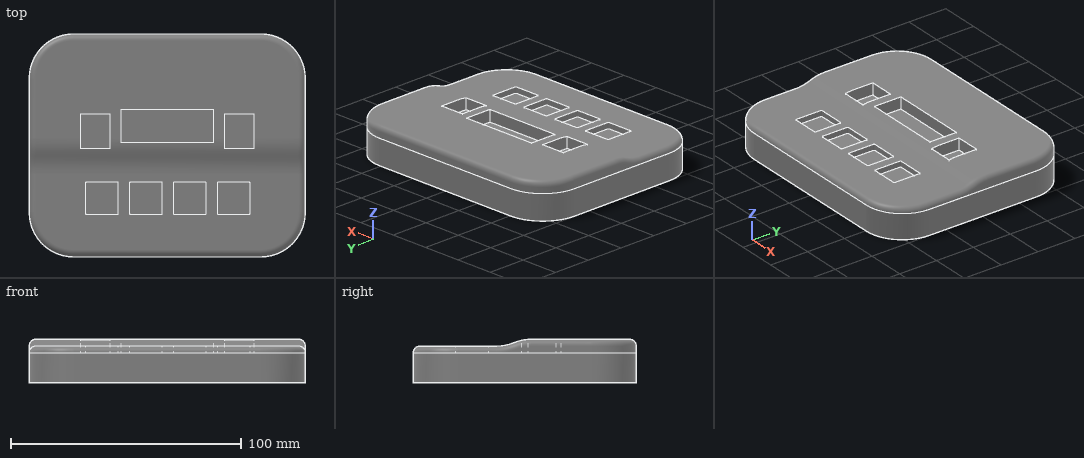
import cadquery as cq
import math

length = 120.0
width = 97.0
corner_radius = 19.5

base_height = 13.0
front_height = 16.0
rear_height = 19.0
rim_radius = front_height - base_height

step_center_y = -4.7
step_arc_radius = 20.0

display_length = 40.2
display_width = 14.3
display_center_y = 8.5
side_opening_length = 12.7
side_opening_width = 14.9
side_opening_center_y = 6.1
side_opening_offset_x = 31.2

key_count = 4
key_size = 14.2
key_pitch = 19.1
key_corner_radius = 0.5
key_row_center_x = 0.2
key_row_center_y = -22.9


def rounded_plate(height):
    """Plate with the overall outline, standing on Z = 0."""
    plate = cq.Workplane("XY").rect(length, width).extrude(height)
    return plate.edges("|Z").fillet(corner_radius)


def deck_profile():
    """Space below the stepped deck, as a prism along X."""
    half_drop = (rear_height - front_height) / 2
    half_run = math.sqrt(2 * step_arc_radius * half_drop - half_drop**2)
    middle_height = front_height + half_drop
    half_angle = math.asin(half_run / step_arc_radius) / 2
    arc_run = step_arc_radius * math.sin(half_angle)
    arc_drop = step_arc_radius * (1 - math.cos(half_angle))
    front_end_y = step_center_y - half_run
    rear_end_y = step_center_y + half_run
    return (
        cq.Workplane("YZ")
        .moveTo(-width / 2, 0)
        .lineTo(-width / 2, front_height)
        .lineTo(front_end_y, front_height)
        .threePointArc((front_end_y + arc_run, front_height + arc_drop), (step_center_y, middle_height))
        .threePointArc((rear_end_y - arc_run, rear_height - arc_drop), (rear_end_y, rear_height))
        .lineTo(width / 2, rear_height)
        .lineTo(width / 2, 0)
        .close()
        .extrude(length / 2, both=True)
    )


def opening(size_x, size_y, center_x, center_y):
    """Rectangular cutter that passes through the full height of the lid."""
    return (
        cq.Workplane("XY", origin=(center_x, center_y, base_height))
        .rect(size_x, size_y)
        .extrude(rear_height - base_height)
    )


def make_base():
    """Plain lower body that closes the lid openings from below."""
    return rounded_plate(base_height)


def make_lid():
    """Upper body with the stepped deck, rounded rim and through openings."""
    envelope = rounded_plate(rear_height).intersect(deck_profile())
    rim = envelope.faces(">Z").edges(">Y")
    lid = rim.fillet(rim_radius).cut(rounded_plate(base_height))

    lid = lid.cut(opening(display_length, display_width, 0, display_center_y))

    for side in (-1, 1):
        center_x = side * side_opening_offset_x
        lid = lid.cut(opening(side_opening_length, side_opening_width, center_x, side_opening_center_y))

    for index in range(key_count):
        center_x = key_row_center_x + (index - (key_count - 1) / 2) * key_pitch
        key = opening(key_size, key_size, center_x, key_row_center_y)
        lid = lid.cut(key.edges("|Z").fillet(key_corner_radius))

    return lid


base = make_base()
lid = make_lid()

result = cq.Compound.makeCompound([base.val(), lid.solids().val()])